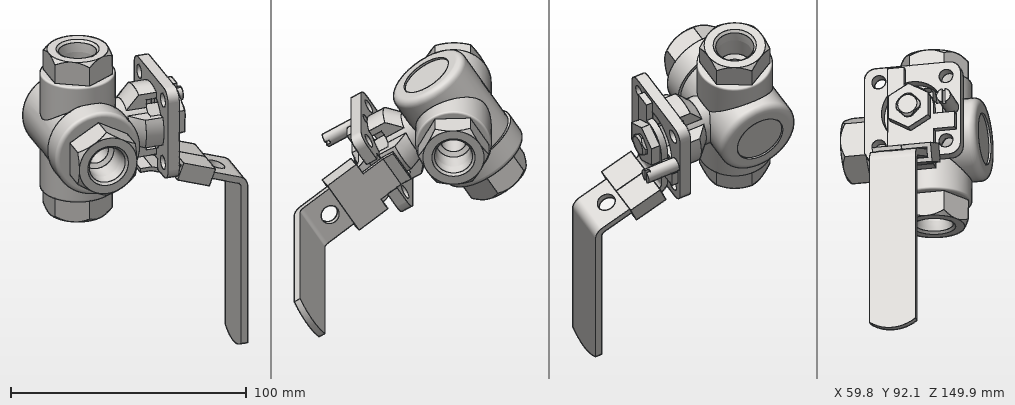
import cadquery as cq
import math


barrel_dia = 35.5
barrel_end_x = -22.0
barrel_round = 3.1
end_recess_dia = 22.0
end_recess_depth = 0.9
cap_dia = 38.0
cap_start_x = 15.3
cap_end_x = 25.9
cap_round = 1.8
branch_dia = 32.0
branch_half_length = 27.1
branch_round = 0.9

port_end = 37.8
hex_flats = 25.9
port_mouth_dia = 18.3
port_mouth_chamfer = 1.0
taper_dia = port_mouth_dia - 2 * port_mouth_chamfer
taper_depth = 5.2
drill_dia = 15.0
drill_depth = 13.5
drill_half_angle = 60
passage_dia = 11.0

neck_dia = 21.0
neck_end_y = 28.6
leg_dia = 32.0
leg_width = 13.0
leg_cone_start_y = 19.6
leg_cone_end_y = 25.2
leg_window_span = 23.7
plate_size = 42.0
plate_front_y = 33.1
plate_back_y = 38.2
plate_corner_round = 5.0
plate_hole_dia = 27.0
latch_notch_width = 16.5
mount_hole_dia = 6.0
mount_hole_offset = 14.7

sheet = 3.0
lever_width = 20.1
lug_height = 19.2
bend_outer_radius = 5.2
grip_outer_y = 73.1
grip_end_z = -112.1
grip_end_rise = 3.3
slope_angle = 20
first_bend_z = -20.7
padlock_hole_dia = 8.0
padlock_hole_y = 61.9

stem_tip_dia = 10.5
stem_flats = 9.1
nut_flats = 17.4
nut_height = 4.0
stem_tip_height = 1.8
stem_tip_chamfer = 1.0

pin_dia = 6.0
pin_shank_dia = 4.2
pin_x = -17.2
pin_end_y = 52.9
pin_slot_width = 1.3
pin_slot_depth = 2.0

latch_sheet = 1.8
latch_width = 25.5
latch_height = 8.1
latch_length = 15.3
latch_centre_y = 49.0
latch_seam = 0.1
tongue_width = 14.5
tongue_bend_y = 30.5
tongue_end_y = 25.6

lever_back_y = plate_back_y + sheet
lever_mid_y = plate_back_y + sheet / 2
slope = math.tan(math.radians(slope_angle))


def rod(dia, start_y, end_y, x=0, z=0):
    """Cylinder parallel to the stem axis."""
    return cq.Workplane("XZ", origin=(x, start_y, z)).circle(dia / 2).extrude(start_y - end_y)


def block(x0, x1, y0, y1, z0, z1):
    return cq.Workplane("XY").box(x1 - x0, y1 - y0, z1 - z0, centered=False).translate((x0, y0, z0))


def hex_rod(flats, start_y, end_y):
    """Hexagonal bar on the stem axis with two corners along Z."""
    corners = flats / math.cos(math.pi / 6)
    bar = cq.Workplane("XZ", origin=(0, start_y, 0)).polygon(6, corners).extrude(start_y - end_y)
    return bar.rotate((0, 0, 0), (0, 1, 0), 30)


def slope_mid_z(y):
    """Height of the middle of the sloping lever sheet."""
    return first_bend_z - (y - lever_mid_y) * slope


def port_hex():
    """Port hexagon along +Z with corners along X and a 45 degree corner chamfer."""
    corner_radius = hex_flats / 2 / math.cos(math.pi / 6)
    chamfer = corner_radius - hex_flats / 2
    hexagon = cq.Workplane("XY").polygon(6, 2 * corner_radius).extrude(port_end)
    turned = cq.Workplane("XY").circle(corner_radius).extrude(port_end).faces(">Z").chamfer(chamfer)
    return hexagon.intersect(turned)


def port_bore():
    """Bore along +Z: chamfered mouth, tapered entry, drilled hole with its cone, and ball passage."""
    drill_r = drill_dia / 2
    passage_r = passage_dia / 2
    drill_end = port_end - drill_depth
    cone_end = drill_end - (drill_r - passage_r) / math.tan(math.radians(drill_half_angle))
    return (
        cq.Workplane("XZ")
        .moveTo(0, 0)
        .lineTo(passage_r, 0)
        .lineTo(passage_r, cone_end)
        .lineTo(drill_r, drill_end)
        .lineTo(drill_r, port_end - taper_depth)
        .lineTo(taper_dia / 2, port_end - port_mouth_chamfer)
        .lineTo(port_mouth_dia / 2, port_end)
        .lineTo(0, port_end)
        .close()
        .revolve(360, (0, 0, 0), (0, 1, 0))
    )


def at_each_port(shape):
    """Copies of a shape that points along +Z, at the upper, lower and +X ports."""
    return [shape.rotate((0, 0, 0), (0, 1, 0), angle) for angle in (0, 90, 180)]


def leg_cross():
    """Four legs in a cross, cut from a turned blank that narrows to the neck."""
    blank = (
        cq.Workplane("XY")
        .moveTo(0, leg_cone_start_y)
        .lineTo(neck_dia / 2, leg_cone_start_y)
        .lineTo(leg_dia / 2, leg_cone_end_y)
        .lineTo(leg_dia / 2, plate_front_y)
        .lineTo(0, plate_front_y)
        .close()
        .revolve(360, (0, 0, 0), (0, 1, 0))
    )
    reach = leg_dia / 2
    half = leg_width / 2
    cross = block(-reach, reach, 0, plate_front_y, -half, half)
    cross = cross.union(block(-half, half, 0, plate_front_y, -reach, reach))
    window = leg_window_span / 2
    return blank.intersect(cross).cut(block(-window, window, neck_end_y, plate_front_y, -window, window))


def mounting_plate():
    half = plate_size / 2
    plate = block(-half, half, plate_front_y, plate_back_y, -half, half)
    plate = plate.edges("|Y").fillet(plate_corner_round)
    for x in (-mount_hole_offset, mount_hole_offset):
        for z in (-mount_hole_offset, mount_hole_offset):
            plate = plate.cut(rod(mount_hole_dia, plate_front_y, plate_back_y, x, z))
    plate = plate.cut(rod(pin_shank_dia, plate_front_y, plate_back_y, pin_x))
    plate = plate.cut(rod(plate_hole_dia, plate_front_y, plate_back_y))
    notch = latch_notch_width / 2
    return plate.cut(block(-notch, notch, plate_front_y, plate_back_y, -half, -leg_dia / 2))


def stem_square(start_y, end_y):
    """Square bar on the stem axis with its corners along X and Z."""
    half = stem_flats / 2
    return block(-half, half, start_y, end_y, -half, half).rotate((0, 0, 0), (0, 1, 0), 45)


def stem_and_nut():
    nut_end_y = lever_back_y + nut_height
    tip_end_y = nut_end_y + stem_tip_height
    tip = rod(stem_tip_dia, lever_back_y, tip_end_y).faces(">Y").chamfer(stem_tip_chamfer)
    tip = tip.intersect(stem_square(lever_back_y, tip_end_y))
    stem = stem_square(neck_end_y, lever_back_y).union(tip)
    return stem.union(hex_rod(nut_flats, lever_back_y, nut_end_y))


def make_valve():
    barrel = cq.Workplane("YZ", origin=(barrel_end_x, 0, 0)).circle(barrel_dia / 2)
    barrel = barrel.extrude(cap_start_x - barrel_end_x).faces("<X").edges().fillet(barrel_round)
    cap = cq.Workplane("YZ", origin=(cap_start_x, 0, 0)).circle(cap_dia / 2)
    cap = cap.extrude(cap_end_x - cap_start_x).faces(">X").edges().fillet(cap_round)
    branch = cq.Workplane("XY").circle(branch_dia / 2).extrude(branch_half_length, both=True)
    branch = branch.faces("|Z").edges().fillet(branch_round)

    valve = barrel.union(cap).union(branch)
    for hexagon in at_each_port(port_hex()):
        valve = valve.union(hexagon)
    valve = valve.union(rod(neck_dia, 0, neck_end_y)).union(leg_cross())
    valve = valve.union(mounting_plate()).union(stem_and_nut())

    for bore in at_each_port(port_bore()):
        valve = valve.cut(bore)
    recess = cq.Workplane("YZ", origin=(barrel_end_x, 0, 0)).circle(end_recess_dia / 2)
    return valve.cut(recess.extrude(end_recess_depth))


def make_stop_pin():
    pin = rod(pin_shank_dia, plate_front_y, plate_back_y, pin_x)
    pin = pin.union(rod(pin_dia, plate_back_y, pin_end_y, pin_x))
    half = pin_slot_width / 2
    slot_floor_y = pin_end_y - pin_slot_depth
    return pin.cut(block(pin_x - half, pin_x + half, slot_floor_y, pin_end_y, -pin_dia, pin_dia))


def bent_strip():
    """Sheet strip that runs down the plate, slopes outward and hangs down as the grip."""
    half_rise = sheet / 2 / math.cos(math.radians(slope_angle))
    grip_inner_y = grip_outer_y - sheet
    bend_inner_radius = bend_outer_radius - sheet
    half = lever_width / 2
    plate_inner = (lever_back_y, slope_mid_z(lever_back_y) + half_rise)
    plate_outer = (plate_back_y, slope_mid_z(plate_back_y) - half_rise)
    grip_outer = (grip_outer_y, slope_mid_z(grip_outer_y) + half_rise)
    grip_inner = (grip_inner_y, slope_mid_z(grip_inner_y) - half_rise)
    strip = (
        cq.Workplane("YZ", origin=(-half, 0, 0))
        .moveTo(plate_back_y, 0)
        .lineTo(lever_back_y, 0)
        .lineTo(*plate_inner)
        .lineTo(*grip_outer)
        .lineTo(grip_outer_y, grip_end_z)
        .lineTo(grip_inner_y, grip_end_z)
        .lineTo(*grip_inner)
        .lineTo(*plate_outer)
        .close()
        .extrude(lever_width)
    )
    bends = ((bend_outer_radius, (plate_outer, grip_outer)), (bend_inner_radius, (plate_inner, grip_inner)))
    for radius, corners in bends:
        for y, z in corners:
            strip = strip.edges(cq.selectors.NearestToPointSelector((0, y, z))).fillet(radius)
    return strip


def grip_outline():
    """Outline of the strip from the stem to the rounded grip end."""
    half = lever_width / 2
    shoulder_z = grip_end_z + grip_end_rise
    return (
        cq.Workplane("XZ")
        .moveTo(-half, 0)
        .lineTo(-half, shoulder_z)
        .threePointArc((0, grip_end_z), (half, shoulder_z))
        .lineTo(half, 0)
        .close()
        .extrude(-grip_outer_y)
    )


def make_lever():
    half = lever_width / 2
    stop_inner = pin_dia / 2
    lever = bent_strip().intersect(grip_outline())
    lever = lever.union(rod(lever_width, plate_back_y, lever_back_y))
    upper_lug = block(stop_inner, half, plate_back_y, lever_back_y, 0, lug_height)
    side_lug = block(-lug_height, 0, plate_back_y, lever_back_y, -half, -stop_inner)
    lever = lever.union(upper_lug).union(side_lug)
    lever = lever.cut(stem_square(plate_back_y, lever_back_y))

    padlock_hole = (
        cq.Workplane("XY")
        .circle(padlock_hole_dia / 2)
        .extrude(2 * sheet, both=True)
        .rotate((0, 0, 0), (1, 0, 0), -slope_angle)
        .translate((0, padlock_hole_y, slope_mid_z(padlock_hole_y)))
    )
    return lever.cut(padlock_hole)


def make_latch():
    """Sheet sleeve around the sloping lever, with a seam on top and a locking tongue."""
    half_width = latch_width / 2
    half_height = latch_height / 2
    half_length = latch_length / 2
    inner_width = half_width - latch_sheet
    inner_height = half_height - latch_sheet
    sleeve = block(-half_width, half_width, -half_length, half_length, -half_height, half_height)
    sleeve = sleeve.cut(
        block(-inner_width, inner_width, -half_length, half_length, -inner_height, inner_height)
    )
    seam_half = latch_seam / 2
    sleeve = sleeve.cut(block(-seam_half, seam_half, -half_length, half_length, 0, half_height))
    centre = (0, latch_centre_y, slope_mid_z(latch_centre_y))
    sleeve = sleeve.rotate((0, 0, 0), (1, 0, 0), -slope_angle).translate(centre)

    cos_slope = math.cos(math.radians(slope_angle))
    floor_drop = half_height / cos_slope
    floor_rise = latch_sheet / cos_slope
    root_y = latch_centre_y
    root_z = slope_mid_z(root_y) - floor_drop
    tip_z = slope_mid_z(tongue_bend_y) - floor_drop
    tip_top_z = tip_z + latch_sheet
    top_bend_y = tongue_bend_y + (floor_rise - latch_sheet) / slope
    tongue = (
        cq.Workplane("YZ", origin=(-tongue_width / 2, 0, 0))
        .moveTo(tongue_end_y, tip_z)
        .lineTo(tongue_bend_y, tip_z)
        .lineTo(root_y, root_z)
        .lineTo(root_y, root_z + floor_rise)
        .lineTo(top_bend_y, tip_top_z)
        .lineTo(tongue_end_y, tip_top_z)
        .close()
        .extrude(tongue_width)
    )
    return sleeve.union(tongue)


valve = make_valve()
stop_pin = make_stop_pin()
lever = make_lever()
latch = make_latch()

bodies = [valve, stop_pin, lever, latch]
result = cq.Compound.makeCompound([body.solids().val() for body in bodies])